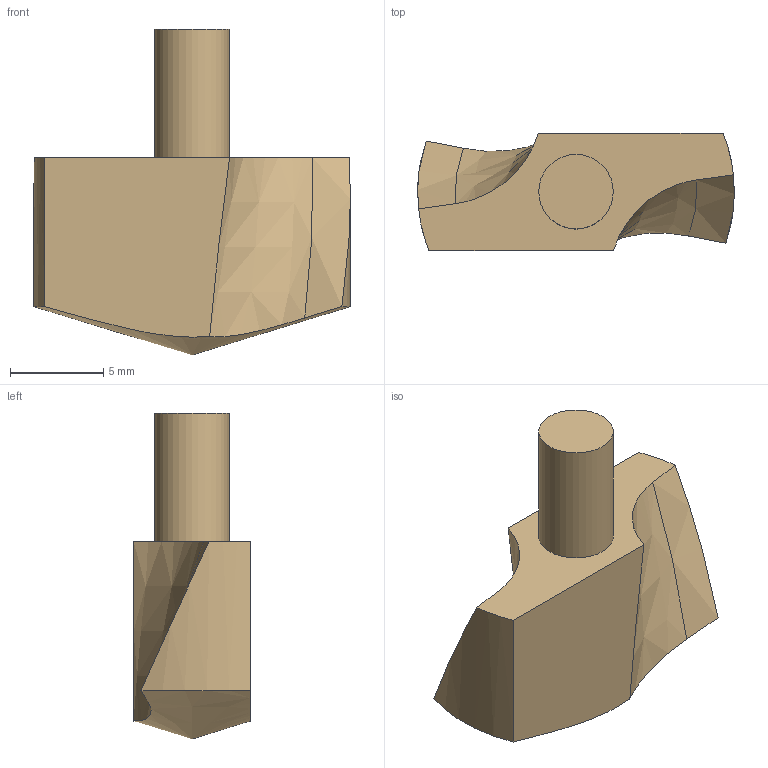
import cadquery as cq
import math


shank_diameter = 4.0
shank_length = 6.9

blade_radius = 8.5
blade_thickness = 6.27
blade_length = 8.0
point_angle = 17.0
point_height = blade_radius * math.tan(math.radians(point_angle))
total_depth = blade_length + point_height

face_angle = 8.0
flute_arc_radius = 5.45
arc_centre_x = 7.22
arc_centre_y = -4.76
flute_twist_rate = 3.125
flute_reach = blade_radius + 2.0


def make_blade():
    """Revolved body with a conical point, trimmed to a flat slab."""
    half_section = (
        cq.Workplane("XZ")
        .moveTo(0, 0)
        .lineTo(blade_radius, 0)
        .lineTo(blade_radius, -blade_length)
        .lineTo(0, -total_depth)
        .close()
    )
    body = half_section.revolve(360, (0, 0, 0), (0, 1, 0))
    slab = cq.Workplane("XY").rect(2 * blade_radius, blade_thickness).extrude(-total_depth)
    return body.intersect(slab)


def arc_point(angle):
    """Point on the concave flute arc at an angle in degrees."""
    turn = math.radians(angle)
    x = arc_centre_x + flute_arc_radius * math.cos(turn)
    y = arc_centre_y + flute_arc_radius * math.sin(turn)
    return x, y


def make_flute():
    """Twisted cutter for the flute on the +X side, from the point up to the shoulder."""
    tangent_angle = 90 + face_angle
    arc_start_angle = 180
    arc_start = arc_point(arc_start_angle)
    arc_middle = arc_point((arc_start_angle + tangent_angle) / 2)
    arc_end = arc_point(tangent_angle)
    face_rise = (flute_reach - arc_end[0]) * math.tan(math.radians(face_angle))
    total_twist = flute_twist_rate * total_depth

    section = (
        cq.Workplane("XY")
        .moveTo(arc_start[0], -flute_reach)
        .lineTo(*arc_start)
        .threePointArc(arc_middle, arc_end)
        .lineTo(flute_reach, arc_end[1] + face_rise)
        .lineTo(flute_reach, -flute_reach)
        .close()
    )
    cutter = section.twistExtrude(total_depth, total_twist)
    cutter = cutter.rotate((0, 0, 0), (0, 0, 1), -total_twist)
    return cutter.translate((0, 0, -total_depth))


def make_shank():
    """Round shank standing on the shoulder."""
    return cq.Workplane("XY").circle(shank_diameter / 2).extrude(shank_length)


flute = make_flute()
opposite_flute = flute.rotate((0, 0, 0), (0, 0, 1), 180)
result = make_blade().cut(flute).cut(opposite_flute).union(make_shank())